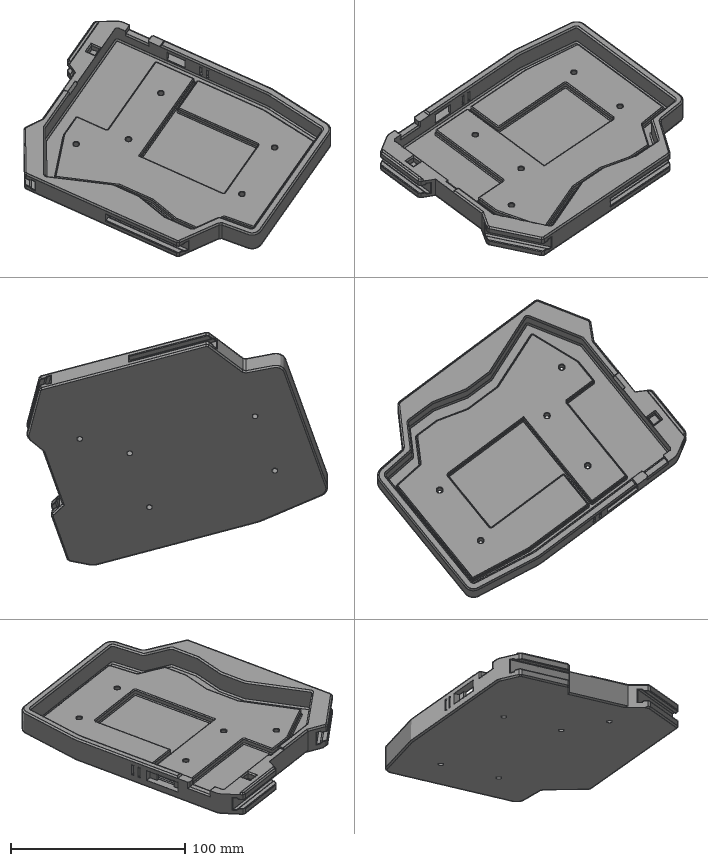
import cadquery as cq
import math

LENGTH = 157.2
WIDTH = 123.4
HEIGHT = 15.0
EDGE_BEVEL = 1.0
WALL = 5.0

LEFT_TOP_Y = 115.8
LEFT_BOTTOM_Y = 83.3
WAIST_X = 8.3
WAIST_TOP_Y = 78.5
WAIST_BOTTOM_Y = 40.0
HEEL = (2.2, 29.0)
BASE_LEFT_X = 18.9
BASE_RIGHT_X = 120.0
SHOULDER = (134.5, 23.7)
RIGHT_BOTTOM_Y = 25.6
RIGHT_TOP_Y = 116.2
SLOPE_START_X = 112.9
CROWN_X = 13.0
RIGHT_RADIUS = 6.0
CROWN_RADIUS = 7.9
SLOPE_RADIUS = 25.2

OUTLINE = [
    (0, LEFT_TOP_Y),
    (0, LEFT_BOTTOM_Y),
    (WAIST_X, WAIST_TOP_Y),
    (WAIST_X, WAIST_BOTTOM_Y),
    HEEL,
    (BASE_LEFT_X, 0),
    (BASE_RIGHT_X, 0),
    SHOULDER,
    (LENGTH, RIGHT_BOTTOM_Y),
    (LENGTH, RIGHT_TOP_Y),
    (SLOPE_START_X, WIDTH),
    (CROWN_X, WIDTH),
]
BEVELLED_CORNERS = [
    (0, LEFT_TOP_Y),
    (0, LEFT_BOTTOM_Y),
    HEEL,
    (BASE_LEFT_X, 0),
    (BASE_RIGHT_X, 0),
    SHOULDER,
]

TRAY_FLOOR_Z = 2.5
TRAY_BEVEL = 1.0
TRAY_RADIUS = 1.4
TRAY_LEFT_X = 12.9
TRAY_RIGHT_X = LENGTH - WALL
TRAY_TOP_Y = WIDTH - WALL
TRAY_OUTLINE = [
    (TRAY_LEFT_X, TRAY_TOP_Y),
    (TRAY_LEFT_X, 34.7),
    (29.9, 4.7),
    (67.0, 18.7),
    (84.1, 18.7),
    (104.2, 12.9),
    (122.1, 12.9),
    (131.3, 28.0),
    (TRAY_RIGHT_X, 29.7),
    (TRAY_RIGHT_X, 111.9),
    (SLOPE_START_X, TRAY_TOP_Y),
]

DECK_Z = 6.0
DECK_BEVEL = 0.6
DECK_LEFT_X = 41.5
DECK_STEP_X = 21.2
DECK_STEP_Y = 56.7
DECK_RIGHT_X = 149.5
DECK_TOP_Y = 113.5
DECK_RADIUS = 1.0
DECK_OUTLINE = [
    (DECK_LEFT_X, DECK_TOP_Y),
    (DECK_LEFT_X, DECK_STEP_Y),
    (DECK_STEP_X, DECK_STEP_Y),
    (DECK_STEP_X, 41.8),
    (31.9, 12.3),
    (67.1, 25.3),
    (88.8, 25.3),
    (107.0, 20.0),
    (121.8, 20.0),
    (130.8, 34.9),
    (DECK_RIGHT_X, 36.6),
    (DECK_RIGHT_X, 107.8),
    (SLOPE_START_X, DECK_TOP_Y),
]

RECESS_Z = 2.5
RECESS_LEFT_X = 67.1
RECESS_RIGHT_X = 122.3
RECESS_BOTTOM_Y = 49.7
RECESS_TOP_Y = 89.9
CHANNEL_WIDTH = 2.0

HOLE_D = 3.1
HOLE_RIM_D = 3.8
HOLES = [(55.5, 94.8), (55.5, 56.7), (31.0, 39.0), (131.5, 92.6), (131.5, 54.2)]

SLOT_Z = HEIGHT / 2
SLOT_NECK = 6.0
SLOT_HEAD = 8.0
SLOT_DEPTH = 6.0
SLOT_NECK_DEPTH = 3.0
SLOT_BEVEL = 0.5
FRONT_SLOT_START_X = 72.3

SLOT_END_BEVEL = 0.3
SLOT_RUN_OUT = 7.9
SLOT_MOUTHS = [
    ((0, LEFT_TOP_Y), (CROWN_X, WIDTH)),
    ((0, LEFT_BOTTOM_Y), (WAIST_X, WAIST_TOP_Y)),
    (HEEL, (WAIST_X, WAIST_BOTTOM_Y)),
    ((BASE_LEFT_X, 0), (BASE_RIGHT_X, 0)),
    ((BASE_RIGHT_X, 0), SHOULDER),
]
TOUCHING = 0.02

LEDGE_Z = 14.0
LEDGE_LEFT_X = 2.5
LEDGE_RIGHT_X = 18.9
LEDGE_BOTTOM_Y = 63.7
NOTCH_Z = 10.7
NOTCH_RIGHT_X = 33.6
BLOCK_RIGHT_X = 41.5
BLOCK_BEVEL = 1.0
LEAD_IN = 1.5
LEAD_IN_TOP_Y = 73.0

WINDOW_X = (46.4, 58.2)
WINDOW_WALL = 1.5
SLIT_XS = [(67.7, 69.2), (72.2, 73.5)]
OPENING_Z = (4.7, 11.3)
SOCKET_X = (6.8, 12.0)
SOCKET_Y = (95.1, 100.5)
SOCKET_DEPTH = 4.7
SOCKET_SLOPE_END_X = 10.5
SOCKET_RISE = 0.6
SOCKET_BEVEL = 0.8


def box(x_range, y_range, z_range):
    """Axis-aligned box between pairs of limits."""
    size = [high - low for low, high in (x_range, y_range, z_range)]
    corner = (x_range[0], y_range[0], z_range[0])
    return cq.Workplane("XY").box(*size, centered=False).translate(corner)


def prism(points, bottom_z, top_z):
    """Upright prism over a closed polygon."""
    return cq.Workplane("XY").workplane(offset=bottom_z).polyline(points).close().extrude(top_z - bottom_z)


def upright_edges(solid, corners):
    """Vertical edges of a solid that stand on the given plan points."""
    picked = solid.edges("|Z").filter(
        lambda edge: any(math.dist((edge.Center().x, edge.Center().y), point) < TOUCHING for point in corners)
    )
    return picked


def make_body():
    body = prism(OUTLINE, 0, HEIGHT)
    body = upright_edges(body, BEVELLED_CORNERS).chamfer(EDGE_BEVEL)
    right_corners = [(LENGTH, RIGHT_BOTTOM_Y), (LENGTH, RIGHT_TOP_Y)]
    body = upright_edges(body, right_corners).fillet(RIGHT_RADIUS)
    body = upright_edges(body, [(CROWN_X, WIDTH)]).fillet(CROWN_RADIUS)
    return upright_edges(body, [(SLOPE_START_X, WIDTH)]).fillet(SLOPE_RADIUS)


def make_tray():
    tray = prism(TRAY_OUTLINE, TRAY_FLOOR_Z, HEIGHT)
    slope_corner = (SLOPE_START_X, TRAY_TOP_Y)
    small_corners = [point for point in TRAY_OUTLINE if point != slope_corner]
    tray = upright_edges(tray, [slope_corner]).fillet(SLOPE_RADIUS)
    tray = upright_edges(tray, small_corners).fillet(TRAY_RADIUS)
    return tray.faces("<Z").edges().chamfer(TRAY_BEVEL)


def bevel_rims(body):
    """Bevel the top and bottom rims, leaving the underside of the heel sharp."""
    heel_middle = cq.Vector((HEEL[0] + WAIST_X) / 2, (HEEL[1] + WAIST_BOTTOM_Y) / 2, 0)
    rims = body.faces(">Z or <Z").edges()
    return rims.filter(lambda edge: (edge.Center() - heel_middle).Length > 2 * EDGE_BEVEL).chamfer(EDGE_BEVEL)


def make_recess():
    channel_right_x = RECESS_LEFT_X + CHANNEL_WIDTH
    outline = [
        (RECESS_LEFT_X, RECESS_BOTTOM_Y),
        (RECESS_RIGHT_X, RECESS_BOTTOM_Y),
        (RECESS_RIGHT_X, RECESS_TOP_Y),
        (channel_right_x, RECESS_TOP_Y),
        (channel_right_x, WIDTH),
        (RECESS_LEFT_X, WIDTH),
    ]
    return prism(outline, RECESS_Z, HEIGHT)


def make_deck():
    deck = prism(DECK_OUTLINE, TRAY_FLOOR_Z, DECK_Z)
    deck = deck.cut(make_recess())
    sharp_corner = upright_edges(deck, [(RECESS_LEFT_X, RECESS_BOTTOM_Y)]).val()
    deck = deck.edges("|Z").filter(lambda edge: not edge.isSame(sharp_corner)).fillet(DECK_RADIUS)
    return deck.faces(">Z").edges().chamfer(DECK_BEVEL)


def add_deck(body):
    """Join the deck to the tray floor with a small bevel along its foot."""
    deck = make_deck()
    foot = [edge.Center() for edge in deck.faces("<Z").edges().vals()]
    joined = body.union(deck)
    foot_edges = joined.edges().filter(
        lambda edge: any((edge.Center() - center).Length < TOUCHING for center in foot)
    )
    return foot_edges.chamfer(DECK_BEVEL)


def t_slot(start, end, overrun_start, overrun_end):
    """T-slot cutter along the outer side from start to end, body on the left of that direction."""
    run = math.dist(start, end)
    along = cq.Vector((end[0] - start[0]) / run, (end[1] - start[1]) / run, 0)
    inward = cq.Vector(-along.y, along.x, 0)
    origin = cq.Vector(start[0], start[1], SLOT_Z) - along * overrun_start
    plane = cq.Plane(origin=origin, xDir=inward, normal=along)
    neck = SLOT_NECK / 2
    head = SLOT_HEAD / 2
    half = [
        (-SLOT_BEVEL, neck + 2 * SLOT_BEVEL),
        (SLOT_BEVEL, neck),
        (SLOT_NECK_DEPTH, neck),
        (SLOT_NECK_DEPTH + head - neck, head),
        (SLOT_DEPTH, head),
    ]
    profile = half + [(depth, -side) for depth, side in reversed(half)]
    return cq.Workplane(plane).polyline(profile).close().extrude(run + overrun_start + overrun_end)


def bevel_slot_end(body, corner, face_end):
    """Bevel the rim of the slot mouth next to a corner, on the side face running from there to face_end."""
    run = math.dist(corner, face_end)
    normal = cq.Vector(face_end[1] - corner[1], corner[0] - face_end[0], 0) / run
    base = cq.Vector(*corner, 0)

    def on_rim(edge):
        points = [edge.startPoint(), edge.endPoint()]
        in_face = all(abs((point - base).dot(normal)) < TOUCHING for point in points)
        inside = all(abs(point.z - SLOT_Z) < SLOT_HEAD / 2 + TOUCHING for point in points)
        nearby = all(math.dist((point.x, point.y), corner) < 2 * SLOT_DEPTH for point in points)
        return in_face and inside and nearby

    return body.edges().filter(on_rim).chamfer(SLOT_END_BEVEL)


def cut_slots(body):
    body = body.cut(t_slot((0, LEFT_TOP_Y), (0, LEFT_BOTTOM_Y), SLOT_RUN_OUT, SLOT_RUN_OUT))
    body = body.cut(t_slot(HEEL, (BASE_LEFT_X, 0), SLOT_RUN_OUT, SLOT_RUN_OUT))
    body = body.cut(t_slot((FRONT_SLOT_START_X, 0), (BASE_RIGHT_X, 0), 0, SLOT_RUN_OUT))
    for corner, face_end in SLOT_MOUTHS:
        body = bevel_slot_end(body, corner, face_end)
    return body


def make_notch():
    """Rim cutter whose floor edges are left bevelled like the rim above."""
    outer = EDGE_BEVEL
    outline = [
        (TRAY_TOP_Y - outer, HEIGHT),
        (TRAY_TOP_Y - outer, NOTCH_Z - 2 * outer),
        (TRAY_TOP_Y + outer, NOTCH_Z),
        (WIDTH - outer, NOTCH_Z),
        (WIDTH, NOTCH_Z - outer),
        (WIDTH, HEIGHT),
    ]
    profile = cq.Workplane("YZ").workplane(offset=LEDGE_RIGHT_X).polyline(outline).close()
    return profile.extrude(NOTCH_RIGHT_X - LEDGE_RIGHT_X)


def make_block_top():
    """Rim cutter over the block, with a sloping end where the full rim resumes."""
    outline = [
        (LEDGE_RIGHT_X, HEIGHT),
        (LEDGE_RIGHT_X, LEDGE_Z),
        (BLOCK_RIGHT_X, LEDGE_Z),
        (BLOCK_RIGHT_X + HEIGHT - LEDGE_Z, HEIGHT),
    ]
    profile = cq.Workplane("XZ", origin=(0, WIDTH, 0)).polyline(outline).close()
    return profile.extrude(WALL + EDGE_BEVEL)


def lower_rim(body):
    above_ledge = (LEDGE_Z, HEIGHT)
    body = body.cut(box((LEDGE_LEFT_X, LEDGE_RIGHT_X), (LEDGE_BOTTOM_Y, WIDTH), above_ledge))
    body = body.cut(make_block_top())
    body = body.cut(make_notch())
    block_corners = [(NOTCH_RIGHT_X, TRAY_TOP_Y), (NOTCH_RIGHT_X, WIDTH)]
    body = upright_edges(body, block_corners).chamfer(BLOCK_BEVEL)
    lead_in = [
        (TRAY_LEFT_X, LEDGE_Z),
        (TRAY_LEFT_X - LEAD_IN, LEDGE_Z),
        (TRAY_LEFT_X, LEDGE_Z - LEAD_IN),
    ]
    lead_in_plane = cq.Workplane("XZ", origin=(0, LEAD_IN_TOP_Y, 0))
    return body.cut(lead_in_plane.polyline(lead_in).close().extrude(LEAD_IN_TOP_Y - LEDGE_BOTTOM_Y))


def cut_openings(body):
    for x_range in [WINDOW_X] + SLIT_XS:
        body = body.cut(box(x_range, (TRAY_TOP_Y - EDGE_BEVEL, WIDTH), OPENING_Z))
    relief_x = (WINDOW_X[0] - WALL, WINDOW_X[1] + WALL)
    return body.cut(box(relief_x, (TRAY_TOP_Y + WINDOW_WALL, WIDTH), OPENING_Z))


def cut_socket(body):
    """Square blind socket in the lowered ledge, with a bevelled rim and a partly sloping floor."""
    low_z = LEDGE_Z - SOCKET_DEPTH
    outline = [
        (SOCKET_X[0], LEDGE_Z),
        (SOCKET_X[0], low_z),
        (SOCKET_SLOPE_END_X, low_z + SOCKET_RISE),
        (SOCKET_X[1], low_z + SOCKET_RISE),
        (SOCKET_X[1], LEDGE_Z),
    ]
    socket = cq.Workplane("XZ", origin=(0, SOCKET_Y[1], 0)).polyline(outline).close()
    socket = socket.extrude(SOCKET_Y[1] - SOCKET_Y[0])
    width = SOCKET_X[1] - SOCKET_X[0]
    depth = SOCKET_Y[1] - SOCKET_Y[0]
    rim = (
        cq.Workplane("XY")
        .workplane(offset=LEDGE_Z)
        .center(sum(SOCKET_X) / 2, sum(SOCKET_Y) / 2)
        .rect(width + 2 * SOCKET_BEVEL, depth + 2 * SOCKET_BEVEL)
        .extrude(-SOCKET_BEVEL, taper=45)
    )
    return body.cut(socket).cut(rim)


def drill_holes(body):
    rim_bevel = (HOLE_RIM_D - HOLE_D) / 2
    for x, y in HOLES:
        hole = cq.Workplane("XY").center(x, y).circle(HOLE_D / 2).extrude(DECK_Z)
        rim = cq.Workplane("XY", origin=(x, y, DECK_Z)).circle(HOLE_RIM_D / 2).extrude(-rim_bevel, taper=45)
        body = body.cut(hole).cut(rim)
    return body


body = make_body().cut(make_tray())
body = bevel_rims(body)
body = add_deck(body)
body = cut_slots(body)
body = lower_rim(body)
body = cut_openings(body)
body = cut_socket(body)
result = drill_holes(body)